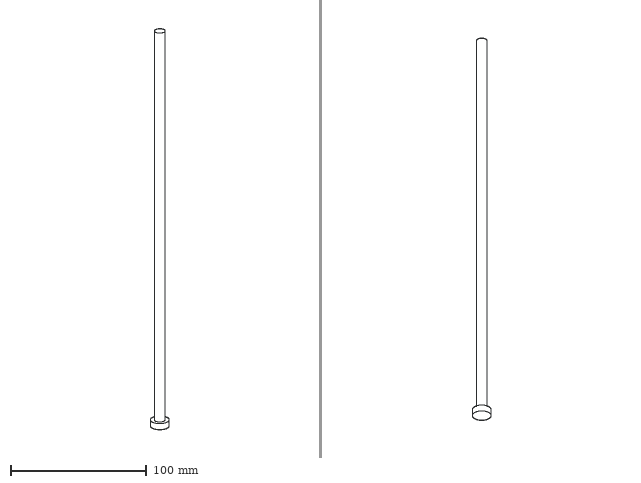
import cadquery as cq

total_length = 320.0
head_diameter = 14.0
head_height = 5.0
shank_diameter = 8.0


def disc_head():
    """Flat cylindrical head standing on the XY plane."""
    return cq.Workplane("XY").circle(head_diameter / 2).extrude(head_height)


def shank():
    """Straight round shank running from the base of the head to the tip."""
    return cq.Workplane("XY").circle(shank_diameter / 2).extrude(total_length)


result = disc_head().union(shank())